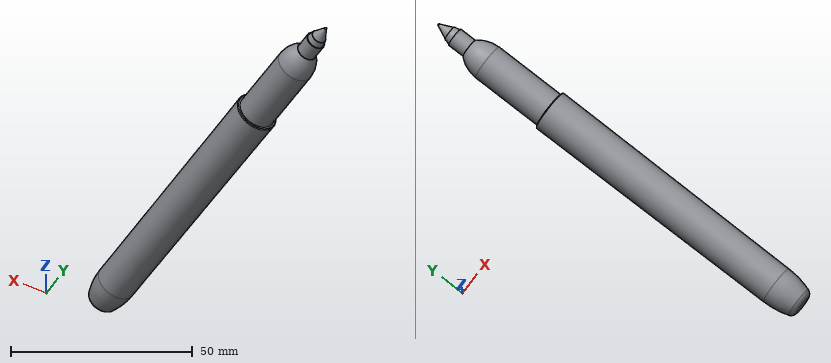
import cadquery as cq
import math

pen_length = 127.8
rear_round_depth = 1.3
tail_start = 9.1
barrel_front = 88.7
dome_start = 110.5
neck_start = 116.8
collar_start = 122.0
nib_start = 123.7

rear_face_radius = 2.7
tail_end_radius = 4.5
tail_start_radius = 5.8
barrel_front_radius = 6.1
rim_chamfer = 0.3
grip_radius = 5.4
dome_end_radius = 3.0
neck_radius = 2.8
collar_base_radius = 2.5
collar_tip_radius = 2.2
nib_radius = 2.0
nib_tip_radius = 0.4

profile_plane = cq.Plane(origin=(0, 0, 0), xDir=(0, 0, 1), normal=(-1, 0, 0))


def tangent_arc_middle(tangent_radius, end_radius, length):
    """Middle of an arc that leaves a cylinder tangentially.

    Returns its radius and its axial distance from the tangent end.
    """
    drop = tangent_radius - end_radius
    arc_radius = (length**2 + drop**2) / (2 * drop)
    half_angle = math.asin(length / arc_radius) / 2
    middle_radius = tangent_radius - arc_radius * (1 - math.cos(half_angle))
    return middle_radius, arc_radius * math.sin(half_angle)


def revolve_about_axis(profile):
    """Turn a closed (radius, station) profile fully around the pen axis."""
    return profile.close().revolve(360, (0, 0, 0), (0, 1, 0))


def make_barrel():
    """Tapered barrel with a curved tail, a rounded rear end and a chamfered rim."""
    round_width = tail_end_radius - rear_face_radius
    round_radius = (rear_round_depth**2 + round_width**2) / (2 * rear_round_depth)
    half_angle = math.asin(round_width / round_radius) / 2
    round_middle = (
        rear_face_radius + round_radius * math.sin(half_angle),
        round_radius * (1 - math.cos(half_angle)),
    )
    tail_radius, tail_offset = tangent_arc_middle(
        tail_start_radius, tail_end_radius, tail_start - rear_round_depth
    )
    profile = (
        cq.Workplane(profile_plane)
        .lineTo(rear_face_radius, 0)
        .threePointArc(round_middle, (tail_end_radius, rear_round_depth))
        .threePointArc((tail_radius, tail_start - tail_offset), (tail_start_radius, tail_start))
        .lineTo(barrel_front_radius, barrel_front - rim_chamfer)
        .lineTo(barrel_front_radius - rim_chamfer, barrel_front)
        .lineTo(0, barrel_front)
    )
    return revolve_about_axis(profile)


def make_grip():
    """Cylindrical grip with a domed shoulder, a neck and a tapered collar."""
    dome_radius, dome_offset = tangent_arc_middle(
        grip_radius, dome_end_radius, neck_start - dome_start
    )
    profile = (
        cq.Workplane(profile_plane)
        .moveTo(0, barrel_front)
        .lineTo(grip_radius, barrel_front)
        .lineTo(grip_radius, dome_start)
        .threePointArc((dome_radius, dome_start + dome_offset), (dome_end_radius, neck_start))
        .lineTo(neck_radius, neck_start)
        .lineTo(neck_radius, collar_start)
        .lineTo(collar_base_radius, collar_start)
        .lineTo(collar_tip_radius, nib_start)
        .lineTo(0, nib_start)
    )
    return revolve_about_axis(profile)


def make_nib():
    """Pointed conical nib with a hemispherical tip, seated on the front of the collar."""
    tip_centre = pen_length - nib_tip_radius
    tip_diagonal = nib_tip_radius * math.sqrt(0.5)
    profile = (
        cq.Workplane(profile_plane)
        .moveTo(0, nib_start)
        .lineTo(nib_radius, nib_start)
        .lineTo(nib_tip_radius, tip_centre)
        .threePointArc((tip_diagonal, tip_centre + tip_diagonal), (0, pen_length))
    )
    return revolve_about_axis(profile)


barrel = make_barrel()
grip = make_grip()
nib = make_nib()

result = cq.Compound.makeCompound([barrel.val(), grip.val(), nib.val()])